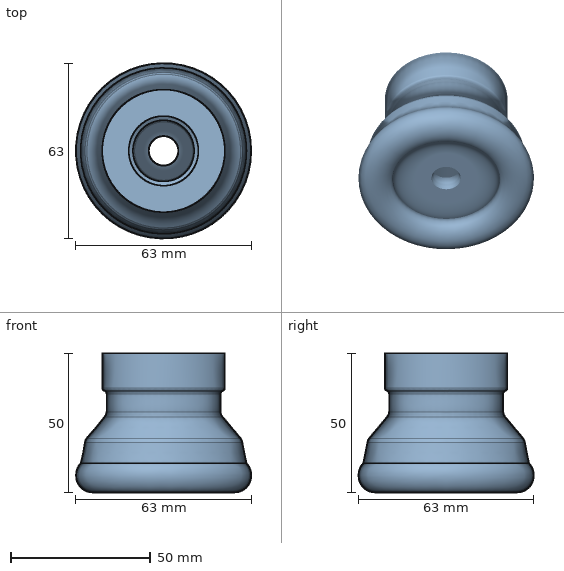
import cadquery as cq
import math

height = 50.0
outer_radius = 31.5

ring_section_radius = 6.2
ring_center_radius = outer_radius - ring_section_radius
ring_center_z = ring_section_radius

collar_radius = 44.0 / 2
neck_radius = 41.0 / 2
collar_edge_z = 37.0
collar_underside_angle = 30.0
collar_step = collar_radius - neck_radius
neck_top_z = collar_edge_z - collar_step * math.tan(math.radians(collar_underside_angle))
collar_fillet = 1.0

neck_bottom_z = 27.95
neck_fillet = 2.7
shoulder_radius = 28.1
shoulder_z = 18.9
shoulder_fillet = 3.15
skirt_flare = 0.2
skirt_bottom_z = ring_center_z
skirt_bottom_radius = shoulder_radius + skirt_flare * (shoulder_z - skirt_bottom_z)

through_diameter = 10.5
bore_diameter = 22.0
bore_floor_z = 12.6
bore_chamfer = 1.5
bore_floor_fillet = 0.5


def make_ring():
    """Round-section ring on which the housing stands."""
    return (
        cq.Workplane("XZ")
        .center(ring_center_radius, ring_center_z)
        .circle(ring_section_radius)
        .revolve(360, (-ring_center_radius, 0), (-ring_center_radius, 1))
    )


def round_circle(body, edge_z, radius):
    """Fillet the circular edge at the given height."""
    return body.edges(cq.NearestToPointSelector((0, 0, edge_z))).fillet(radius)


def make_outer_form():
    """Collar, neck, shoulder and skirt as one turned form."""
    form = (
        cq.Workplane("XZ")
        .polyline(
            [
                (0, skirt_bottom_z),
                (skirt_bottom_radius, skirt_bottom_z),
                (shoulder_radius, shoulder_z),
                (neck_radius, neck_bottom_z),
                (neck_radius, neck_top_z),
                (collar_radius, collar_edge_z),
                (collar_radius, height),
                (0, height),
            ]
        )
        .close()
        .revolve(360, (0, 0), (0, 1))
    )
    form = round_circle(form, shoulder_z, shoulder_fillet)
    form = round_circle(form, neck_bottom_z, neck_fillet)
    form = round_circle(form, neck_top_z, collar_fillet)
    return round_circle(form, collar_edge_z, collar_fillet)


def make_bore_cutter():
    """Flat-floored bore with a rounded floor edge and a chamfered mouth."""
    bore = (
        cq.Workplane("XY")
        .workplane(offset=bore_floor_z)
        .circle(bore_diameter / 2)
        .extrude(height - bore_floor_z)
        .faces("<Z")
        .edges()
        .fillet(bore_floor_fillet)
    )
    mouth = (
        cq.Workplane("XY")
        .workplane(offset=height)
        .circle(bore_diameter / 2 + bore_chamfer)
        .workplane(offset=-bore_chamfer)
        .circle(bore_diameter / 2)
        .loft(ruled=True)
    )
    return bore.union(mouth)


def make_housing(ring):
    """Turned housing with a stepped hole and a seat matching the ring."""
    through_hole = cq.Workplane("XY").circle(through_diameter / 2).extrude(height)
    return make_outer_form().cut(make_bore_cutter()).cut(through_hole).cut(ring)


ring = make_ring()
housing = make_housing(ring)

result = cq.Compound.makeCompound([housing.solids().val(), ring.val()])